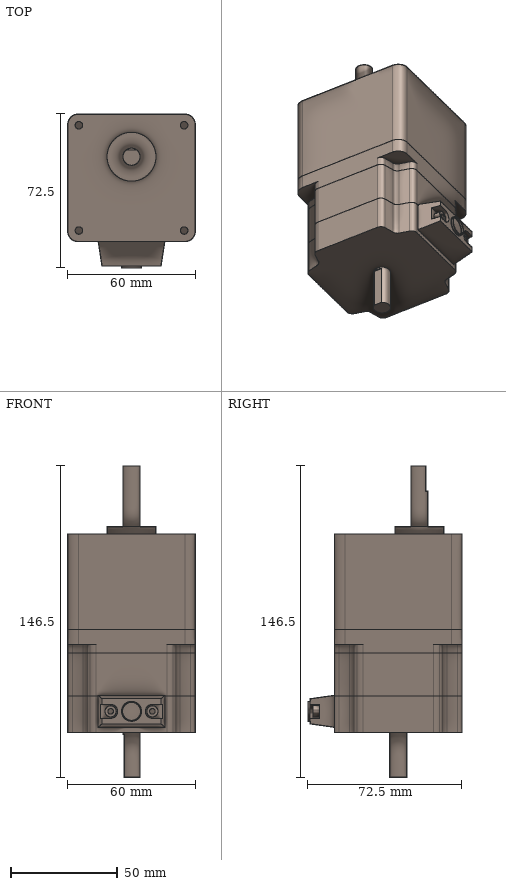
import cadquery as cq
import math


body_size = 60.0
half_size = body_size / 2
corner_radius = 5.0

total_height = 146.5
motor_shaft_length = 21.1
cover_height = 17.1
stator_height = 20.2
pilot_height = 4.1
plate_height = 7.0
gearbox_height = 45.0
boss_height = 3.4

stator_base_z = cover_height
flange_base_z = stator_base_z + stator_height
plate_base_z = flange_base_z + pilot_height
gearbox_base_z = plate_base_z + plate_height
gearbox_top_z = gearbox_base_z + gearbox_height
boss_top_z = gearbox_top_z + boss_height
shaft_top_z = total_height - motor_shaft_length

notch_width = 11.1
notch_flare = 15.0
notch_depth = notch_width / (1 + math.tan(math.radians(notch_flare)))
notch_radius = 3.0

shaft_diameter = 8.0
shaft_radius = shaft_diameter / 2
output_offset = 10.0
output_flat_distance = 3.1
output_flat_length = 11.9
motor_flat_distance = 3.5
motor_flat_gap = 0.9

boss_diameter = 23.0
mount_spacing = 49.5
mount_hole_diameter = 3.5
mount_hole_depth = 8.8

connector_depth = 11.5
connector_base_width = 31.4
connector_base_height = 15.1
connector_front_width = 27.8
connector_front_height = 11.9
connector_z = 10.0
ring_radius = 4.7
ring_bore_radius = 4.2
ring_height = 1.0
screw_offset = 9.8
slot_height = 6.6
slot_depth = 4.4
screw_head_radius = 2.6
screw_head_height = 3.1
screw_socket_radius = 1.3
screw_socket_depth = 2.2


def square_block(base_z, height):
    """Square block with rounded vertical corners."""
    block = cq.Workplane("XY").workplane(offset=base_z).rect(body_size, body_size).extrude(height)
    return block.edges("|Z").fillet(corner_radius)


def notched_block(base_z, height):
    """Square block with a flared, rounded notch in each vertical corner."""
    face_end = half_size - notch_width
    notch_root = half_size - notch_depth
    corner = [(half_size, face_end), (notch_root, notch_root), (face_end, half_size)]
    outline = []
    for turn in range(4):
        cosine = round(math.cos(turn * math.pi / 2))
        sine = round(math.sin(turn * math.pi / 2))
        outline += [(x * cosine - y * sine, x * sine + y * cosine) for x, y in corner]
    block = cq.Workplane("XY").workplane(offset=base_z).polyline(outline).close().extrude(height)
    return block.edges("|Z").fillet(notch_radius)


def make_rear_cover():
    """Rear motor cover with the D-cut motor shaft below it."""
    cover = notched_block(0, cover_height)
    shaft = cq.Workplane("XY").circle(shaft_radius).extrude(-motor_shaft_length)
    flat_cut = (
        cq.Workplane("XY")
        .workplane(offset=-motor_flat_gap)
        .center(-motor_flat_distance - shaft_radius, 0)
        .rect(shaft_diameter, shaft_diameter)
        .extrude(-motor_shaft_length)
    )
    return cover.union(shaft.cut(flat_cut))


def make_stator():
    """Middle section of the motor."""
    return notched_block(stator_base_z, stator_height)


def make_flange():
    """Square plate on a short notched section that matches the motor."""
    return notched_block(flange_base_z, pilot_height).union(square_block(plate_base_z, plate_height))


def make_gearbox():
    """Gearbox with mounting holes and an offset boss carrying the D-cut output shaft."""
    gearbox = square_block(gearbox_base_z, gearbox_height)
    gearbox = (
        gearbox.faces(">Z")
        .workplane(origin=(0, 0, gearbox_top_z))
        .rect(mount_spacing, mount_spacing, forConstruction=True)
        .vertices()
        .hole(mount_hole_diameter, mount_hole_depth)
    )
    boss = (
        cq.Workplane("XY", origin=(0, output_offset, gearbox_top_z))
        .circle(boss_diameter / 2)
        .extrude(boss_height)
    )
    shaft = (
        cq.Workplane("XY", origin=(0, output_offset, boss_top_z))
        .circle(shaft_radius)
        .extrude(shaft_top_z - boss_top_z)
    )
    flat_y = output_offset + output_flat_distance + shaft_radius
    flat_cut = (
        cq.Workplane("XY", origin=(0, flat_y, shaft_top_z))
        .rect(shaft_diameter, shaft_diameter)
        .extrude(-output_flat_length)
    )
    return gearbox.union(boss).union(shaft.cut(flat_cut))


def make_connector():
    """Tapered connector on the -Y side with a thin round ring and two recessed screws."""
    base_plane = cq.Workplane("XZ", origin=(0, -half_size, connector_z))
    front_y = -half_size - connector_depth
    slot_floor_y = front_y + slot_depth
    front_plane = cq.Workplane("XZ", origin=(0, front_y, connector_z))
    slot_plane = cq.Workplane("XZ", origin=(0, slot_floor_y, connector_z))

    connector = (
        base_plane.rect(connector_base_width, connector_base_height)
        .workplane(offset=connector_depth)
        .rect(connector_front_width, connector_front_height)
        .loft(ruled=True)
    )
    ring = front_plane.circle(ring_radius).circle(ring_bore_radius).extrude(ring_height)
    connector = connector.union(ring)

    slot_length = connector_base_width / 2
    for side in (-1, 1):
        screw_x = side * screw_offset
        slot_end = slot_plane.center(screw_x, 0).circle(slot_height / 2).extrude(slot_depth)
        slot_run = (
            slot_plane.center(screw_x + side * slot_length / 2, 0)
            .rect(slot_length, slot_height)
            .extrude(slot_depth)
        )
        screw_head = slot_plane.center(screw_x, 0).circle(screw_head_radius).extrude(screw_head_height)
        socket = (
            slot_plane.workplane(offset=screw_head_height)
            .center(screw_x, 0)
            .circle(screw_socket_radius)
            .extrude(-screw_socket_depth)
        )
        connector = connector.cut(slot_end).cut(slot_run).union(screw_head.cut(socket))
    return connector


rear_cover = make_rear_cover()
stator = make_stator()
flange = make_flange()
gearbox = make_gearbox()
connector = make_connector()

result = cq.Compound.makeCompound(
    [rear_cover.val(), stator.val(), flange.val(), gearbox.val(), connector.val()]
)